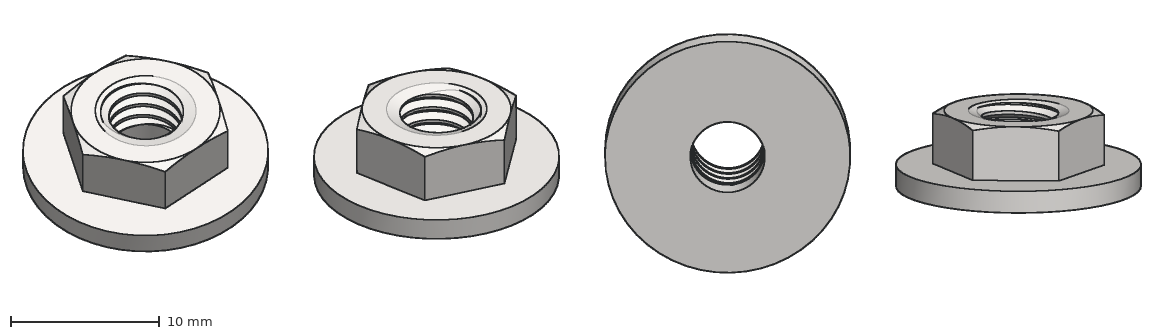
import cadquery as cq
import math

flange_diameter = 16.47
flange_thickness = 1.5
flange_bore_diameter = 5.0
total_height = 5.2
across_flats = 10.0
across_corners = across_flats / math.cos(math.pi / 6)
corner_bevel_depth = 0.28

minor_diameter = 4.92
major_diameter = 6.03
pitch = 1.0
thread_phase_height = 0.53
flank_slope = math.tan(math.pi / 6)
root_width = pitch / 8
groove_overlap = 0.08

countersink_diameter = 6.75
countersink_depth = 0.3


def make_hexagon():
    """Hexagon with corners on the X axis, its top corners bevelled by a cone."""
    hexagon = cq.Workplane("XY").polygon(6, across_corners).extrude(total_height)
    corner_radius = across_corners / 2
    envelope = (
        cq.Workplane("XZ")
        .moveTo(0, 0)
        .lineTo(corner_radius, 0)
        .lineTo(corner_radius, total_height - corner_bevel_depth)
        .lineTo(across_flats / 2, total_height)
        .lineTo(0, total_height)
        .close()
        .revolve(360, (0, 0, 0), (0, 1, 0))
    )
    return hexagon.intersect(envelope)


def make_bore():
    """Through bore at the thread's minor diameter with a conical mouth on top."""
    return (
        cq.Workplane("XZ")
        .moveTo(0, 0)
        .lineTo(minor_diameter / 2, 0)
        .lineTo(minor_diameter / 2, total_height - countersink_depth)
        .lineTo(countersink_diameter / 2, total_height)
        .lineTo(0, total_height)
        .close()
        .revolve(360, (0, 0, 0), (0, 1, 0))
    )


def make_groove_turn():
    """One helical turn of a V groove with a flat root, starting on the +X side at Z = 0."""
    inner_radius = minor_diameter / 2 - groove_overlap
    root_radius = major_diameter / 2
    root_half = root_width / 2
    mouth_half = root_half + (root_radius - inner_radius) * flank_slope
    path = cq.Wire.makeHelix(pitch, pitch, inner_radius)
    return (
        cq.Workplane("XZ")
        .moveTo(inner_radius, -mouth_half)
        .lineTo(root_radius, -root_half)
        .lineTo(root_radius, root_half)
        .lineTo(inner_radius, mouth_half)
        .close()
        .sweep(cq.Workplane(obj=path), isFrenet=True)
    )


def cut_thread(blank):
    """Cut the groove turn by turn, from below the bottom face to above the top face."""
    turn = make_groove_turn()
    first_turn = -2
    last_turn = math.ceil(total_height / pitch)
    for index in range(first_turn, last_turn + 1):
        blank = blank.cut(turn.translate((0, 0, thread_phase_height + index * pitch)))
    return blank


threaded_nut = cut_thread(make_hexagon().cut(make_bore()))
nut_above_flange = threaded_nut.intersect(
    cq.Workplane("XY")
    .workplane(offset=flange_thickness)
    .circle(flange_diameter / 2)
    .extrude(total_height - flange_thickness)
)
flange = (
    cq.Workplane("XY")
    .circle(flange_diameter / 2)
    .circle(flange_bore_diameter / 2)
    .extrude(flange_thickness)
)
result = flange.union(nut_above_flange)